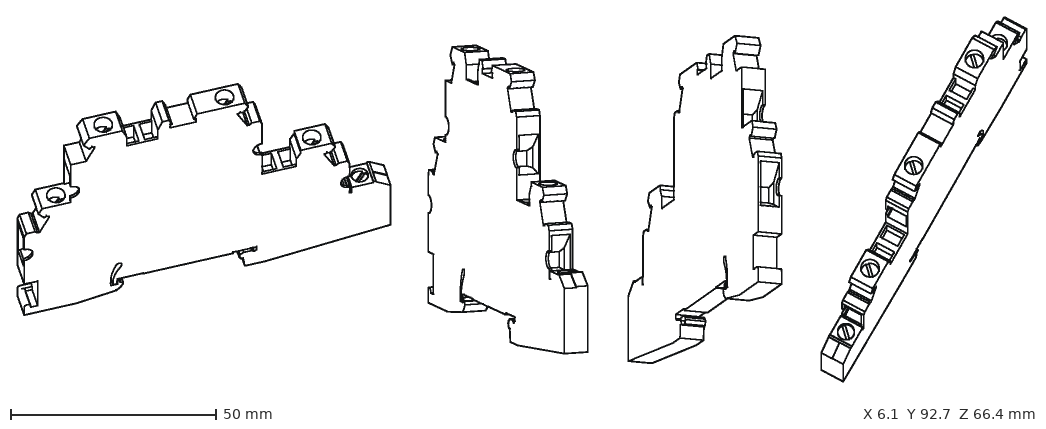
import cadquery as cq


WIDTH = 6.1
LENGTH = 92.7
HEIGHT = 66.4
HALF_WIDTH = WIDTH / 2

LOWER_TOP = 42.0
LOWER_REAR_FACE = 82.3
UPPER_FRONT_FACE = 11.8
UPPER_FRONT_SHOULDER = 57.3
UPPER_REAR_FACE = 60.2
UPPER_REAR_HEAD_OFFSET = 0.2

UPPER_TROUGH_FRONT = 25.95
UPPER_TROUGH_REAR = 33.8
UPPER_TROUGH_FLOOR = 59.9
LOWER_TROUGH_REAR = 68.9
LOWER_TROUGH_FLOOR = 35.9
LOWER_CHAMFER_BOTTOM = 38.9
LOWER_CHAMFER_TOP = 40.9
TROUGH_CHAMFER_DROP = 2.9
TROUGH_CHAMFER_RUN = 1.1

LABEL_FRONT = 36.9
LABEL_REAR = 43.5
LABEL_FLOOR = 63.2
LABEL_LIP = 0.6
LABEL_LIP_HEIGHT = 64.4

SHELF_TOP = 22.15
SHELF_FRONT = 82.9
SHELF_GAP_FLOOR = 20.1
SHELF_RIDGE_TOP = 22.5
SHELF_RIDGE_FRONT = 88.3
SHELF_RIDGE_REAR = 89.0
SHELF_SLOPE_FOOT = 19.7
SHELF_RELIEF = 0.3

REAR_BOTTOM = 3.3
RAIL_CEILING = 6.2
RAIL_SLOT_CEILING = 6.7
RAIL_SLOT_FRONT = 52.8
RAIL_SLOT_REAR = 58.9
RAIL_STEP = 30.1
RAIL_STEP_CEILING = 6.4
TONGUE_FRONT = 22.5
TONGUE_REAR = 23.5
TONGUE_BOTTOM = 4.5
TONGUE_GAP = 0.2
FOOT_BOTTOM = 0.3
HOOK_SIDE_PLATE = 0.9

NOTCH_DEPTH = 3.4
NOTCH_FLOOR = 4.3
NOTCH_CEILING = 12.9
NOTCH_LIP_RADIUS = 0.8
NOTCH_GROOVE_DEPTH = 1.3
NOTCH_SIDE_PLATE = 1.1

SCREW_RADIUS = 2.2
SCREW_DEPTH = 3.7
SHELF_SCREW_RADIUS = 2.0
SHELF_SCREW_DEPTH = 1.1
SLOT_WIDTH = 0.7
SLOT_DEPTH = 0.6
SLOT_ANGLE = -45
SCREWS = [
    (8.9, LOWER_TOP, SCREW_RADIUS, SCREW_DEPTH),
    (20.9, HEIGHT, SCREW_RADIUS, SCREW_DEPTH),
    (51.5, HEIGHT, SCREW_RADIUS, SCREW_DEPTH),
    (73.6, LOWER_TOP, SCREW_RADIUS, SCREW_DEPTH),
    (85.7, SHELF_TOP, SHELF_SCREW_RADIUS, SHELF_SCREW_DEPTH),
]

POCKET_WIDTH = 4.8
POCKET_DEPTH = 4.6
BRIDGE_POCKETS = [
    ((UPPER_TROUGH_FRONT, 29.2), UPPER_TROUGH_FLOOR),
    ((30.7, UPPER_TROUGH_REAR), UPPER_TROUGH_FLOOR),
    ((60.7, 64.05), LOWER_TROUGH_FLOOR),
    ((65.7, LOWER_TROUGH_REAR), LOWER_TROUGH_FLOOR),
]

ENTRY_DEPTH = 5.1
ENTRY_STRAIGHT_DEPTH = 4.0
ENTRY_SILL = 0.6
ENTRY_RIGHT = 2.4
ENTRY_END_HALF_WIDTH = 1.6
ENTRY_BITE_RADIUS = 2.2
LOWER_ENTRY = (-ENTRY_RIGHT, (19.65, 30.8), (21.8, 25.7), 24.75)
UPPER_ENTRY = (-2.7, (LOWER_TOP, 51.8), (43.1, 46.9), 46.1)


def clip_head(face, top, inward, head_offset=0.0):
    """Shoulder and hooked head of one terminal, listed upwards from its outer face."""
    shoulder = [(0, 10.0), (0.6, 8.7)]
    head = [
        (2.8, 8.7), (3.4, 9.4), (3.9, 9.4), (6.4, 3.9), (5.7, 3.3),
        (5.0, 3.8), (3.6, 1.9), (4.5, 0),
    ]
    points = [(face + inward * run, top - drop) for run, drop in shoulder]
    points += [(face + inward * run - head_offset * inward, top - drop) for run, drop in head]
    return points


def plate(points, x_start, x_end):
    """Polygon of (y, z) points, extruded along X."""
    return cq.Workplane("YZ", origin=(x_start, 0, 0)).polyline(points).close().extrude(x_end - x_start)


def body():
    chamfer_z = HEIGHT - TROUGH_CHAMFER_DROP
    gap_rear = TONGUE_REAR + TONGUE_GAP
    gap_floor = TONGUE_BOTTOM - TONGUE_GAP

    notch = [
        (0, FOOT_BOTTOM), (0, NOTCH_FLOOR), (NOTCH_DEPTH, NOTCH_FLOOR),
        (NOTCH_DEPTH, NOTCH_CEILING), (0, NOTCH_CEILING),
    ]
    front_levels = clip_head(0, LOWER_TOP, 1) + [
        (UPPER_FRONT_FACE, LOWER_TOP), (UPPER_FRONT_FACE, UPPER_FRONT_SHOULDER),
        (15.7, UPPER_FRONT_SHOULDER), (17.9, 62.2),
        (17.15, 62.7), (16.5, 61.9), (15.0, 64.05), (16.5, HEIGHT),
    ]
    top_edge = [
        (UPPER_TROUGH_FRONT - TROUGH_CHAMFER_RUN, HEIGHT), (UPPER_TROUGH_FRONT, chamfer_z),
        (UPPER_TROUGH_FRONT, UPPER_TROUGH_FLOOR), (UPPER_TROUGH_REAR, UPPER_TROUGH_FLOOR),
        (UPPER_TROUGH_REAR, chamfer_z), (UPPER_TROUGH_REAR + TROUGH_CHAMFER_RUN, HEIGHT),
        (LABEL_FRONT - LABEL_LIP / 2, HEIGHT), (LABEL_FRONT + LABEL_LIP, LABEL_LIP_HEIGHT),
        (LABEL_FRONT, LABEL_LIP_HEIGHT), (LABEL_FRONT, LABEL_FLOOR),
        (LABEL_REAR, LABEL_FLOOR), (LABEL_REAR, LABEL_LIP_HEIGHT),
        (LABEL_REAR - LABEL_LIP, LABEL_LIP_HEIGHT), (LABEL_REAR + LABEL_LIP / 2, HEIGHT),
    ]
    upper_rear = clip_head(UPPER_REAR_FACE, HEIGHT, -1, UPPER_REAR_HEAD_OFFSET)[::-1]
    lower_trough = [
        (UPPER_REAR_FACE, LOWER_TROUGH_FLOOR), (LOWER_TROUGH_REAR, LOWER_TROUGH_FLOOR),
        (LOWER_TROUGH_REAR, LOWER_CHAMFER_BOTTOM),
        (LOWER_TROUGH_REAR + TROUGH_CHAMFER_RUN, LOWER_CHAMFER_TOP),
        (LOWER_TROUGH_REAR + TROUGH_CHAMFER_RUN, LOWER_TOP),
    ]
    lower_rear = clip_head(LOWER_REAR_FACE, LOWER_TOP, -1)[::-1]
    shelf = [
        (LOWER_REAR_FACE, SHELF_GAP_FLOOR), (SHELF_FRONT, SHELF_GAP_FLOOR),
        (SHELF_FRONT, SHELF_TOP), (SHELF_RIDGE_FRONT, SHELF_TOP),
        (SHELF_RIDGE_FRONT, SHELF_RIDGE_TOP), (SHELF_RIDGE_REAR, SHELF_RIDGE_TOP),
        (LENGTH, SHELF_SLOPE_FOOT), (LENGTH, REAR_BOTTOM),
    ]
    rear_foot = [
        (60.9, 0), (55.8, 0), (55.4, 3.2), (54.8, 3.2), (55.15, 4.3), (58.1, 5.1),
        (RAIL_SLOT_REAR, 5.7), (RAIL_SLOT_REAR, RAIL_SLOT_CEILING),
        (RAIL_SLOT_FRONT, RAIL_SLOT_CEILING), (RAIL_SLOT_FRONT, RAIL_CEILING),
        (RAIL_STEP, RAIL_CEILING), (RAIL_STEP, RAIL_STEP_CEILING),
    ]
    tongue = [
        (TONGUE_REAR, RAIL_STEP_CEILING), (TONGUE_REAR, TONGUE_BOTTOM),
        (TONGUE_FRONT, TONGUE_BOTTOM), (TONGUE_FRONT, RAIL_STEP_CEILING),
    ]
    front_foot = [
        (gap_rear, gap_floor), (gap_rear, 5.7), (24.3, 5.7), (24.3, 4.8), (25.0, 4.8),
        (25.0, 4.0), (24.4, 2.9), (23.3, 1.9), (13.35, FOOT_BOTTOM),
    ]

    outline = (
        cq.Workplane("YZ", origin=(-HALF_WIDTH, 0, 0))
        .polyline(
            notch + front_levels + top_edge + upper_rear + lower_trough
            + lower_rear + shelf + rear_foot + tongue
        )
        .threePointArc((23.1, 8.7), (24.2, 10.75))
        .lineTo(24.6, 11.5)
        .threePointArc((24.2, 12.6), (23.3, 12.1))
        .threePointArc((22.1, 8.3), (22.0, gap_floor))
    )
    for point in front_foot:
        outline = outline.lineTo(*point)
    return outline.close().extrude(WIDTH)


def rear_hook():
    """Fuller hook behind the side plate of the rear foot."""
    points = [
        (58.1, 5.1), (57.6, 5.7), (55.5, 5.7), (54.6, 5.0), (54.3, 4.4), (54.6, 3.7),
        (55.0, 3.2), (55.4, 3.2), (55.8, 2.8),
    ]
    return plate(points, HOOK_SIDE_PLATE - HALF_WIDTH, HALF_WIDTH)


def shelf_relief():
    """Shallow set-back of the rear slope over the +X half of the width."""
    points = [
        (LENGTH, SHELF_SLOPE_FOOT), (SHELF_RIDGE_REAR, SHELF_RIDGE_TOP),
        (SHELF_RIDGE_REAR, SHELF_RIDGE_TOP - SHELF_RELIEF), (LENGTH, SHELF_SLOPE_FOOT - SHELF_RELIEF),
    ]
    return plate(points, 0, HALF_WIDTH)


def notch_groove():
    """Groove in the notch floor, open to +X, leaving a lip with a round back at the front."""
    bottom = NOTCH_FLOOR - NOTCH_GROOVE_DEPTH
    lip_back = 2 * NOTCH_LIP_RADIUS
    return (
        cq.Workplane("YZ", origin=(NOTCH_SIDE_PLATE - HALF_WIDTH, 0, 0))
        .moveTo(NOTCH_LIP_RADIUS, NOTCH_FLOOR)
        .radiusArc((lip_back, NOTCH_FLOOR - NOTCH_LIP_RADIUS), NOTCH_LIP_RADIUS)
        .lineTo(lip_back, bottom)
        .lineTo(NOTCH_DEPTH, bottom)
        .lineTo(NOTCH_DEPTH, NOTCH_FLOOR)
        .close()
        .extrude(WIDTH - NOTCH_SIDE_PLATE)
    )


def round_lip_front(block):
    """Round the top front edge of the notch lip."""
    near = 0.1
    edge = cq.selectors.BoxSelector(
        (-WIDTH, -near, NOTCH_FLOOR - near), (WIDTH, near, NOTCH_FLOOR + near)
    )
    return block.edges(edge).fillet(NOTCH_LIP_RADIUS)


def screw_hole(y, top, radius, depth):
    """Round hole with a slotted screw head as its floor."""
    floor = top - depth
    hole = cq.Workplane("XY", origin=(0, y, floor)).circle(radius).extrude(depth)
    slot = (
        cq.Workplane("XY", origin=(0, y, floor - SLOT_DEPTH))
        .transformed(rotate=(0, 0, SLOT_ANGLE))
        .rect(2 * radius, SLOT_WIDTH)
        .extrude(SLOT_DEPTH)
    )
    return hole.union(slot.intersect(hole.translate((0, 0, -SLOT_DEPTH))))


def bridge_pocket(y_range, floor):
    front, rear = y_range
    return (
        cq.Workplane("XY", origin=(0, (front + rear) / 2, floor - POCKET_DEPTH))
        .rect(POCKET_WIDTH, rear - front)
        .extrude(POCKET_DEPTH)
    )


def wire_entry(face, inward, left, mouth, end, bite_z):
    """Wire funnel. mouth and end are its (bottom, top) heights at the face and at the inner end."""
    straight_y = face + inward * ENTRY_STRAIGHT_DEPTH
    end_y = face + inward * ENTRY_DEPTH

    side_profile = [
        (face, mouth[0]), (face, mouth[1]), (end_y, end[1]), (end_y, end[0]),
        (face + inward * ENTRY_SILL, mouth[0]),
    ]
    plan = [
        (left, face), (left, straight_y), (-ENTRY_END_HALF_WIDTH, end_y),
        (ENTRY_END_HALF_WIDTH, end_y), (ENTRY_RIGHT, straight_y), (ENTRY_RIGHT, face),
    ]
    plan_prism = (
        cq.Workplane("XY", origin=(0, 0, mouth[0]))
        .polyline(plan).close().extrude(mouth[1] - mouth[0])
    )
    funnel = plate(side_profile, -HALF_WIDTH, HALF_WIDTH).intersect(plan_prism)
    bite = cq.Workplane("YZ", origin=(0, face, bite_z)).circle(ENTRY_BITE_RADIUS).extrude(HALF_WIDTH)
    return funnel.union(bite)


result = round_lip_front(body()).union(rear_hook()).cut(shelf_relief()).cut(notch_groove())

for screw in SCREWS:
    result = result.cut(screw_hole(*screw))

for y_range, floor in BRIDGE_POCKETS:
    result = result.cut(bridge_pocket(y_range, floor))

for front_face, rear_face, heights in [
    (0, LOWER_REAR_FACE, LOWER_ENTRY),
    (UPPER_FRONT_FACE, UPPER_REAR_FACE, UPPER_ENTRY),
]:
    result = result.cut(wire_entry(front_face, 1, *heights))
    result = result.cut(wire_entry(rear_face, -1, *heights))